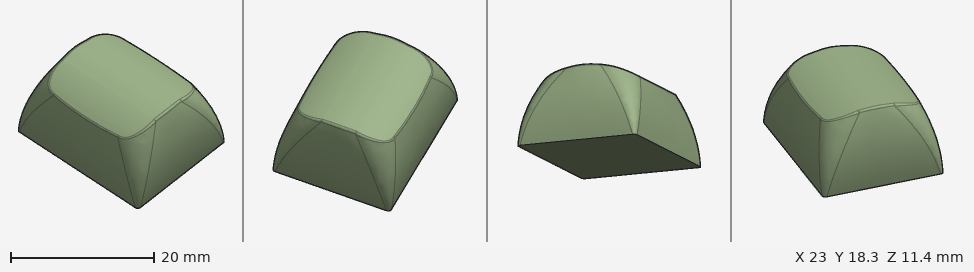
import cadquery as cq
import math

LENGTH = 23.03
WIDTH = 18.25
HEIGHT = 11.4
WIDEST_LEVEL = 1.5
END_WALL_RADIUS = 20.73
LONG_WALL_RADIUS = 21.19
BASE_CORNER = 0.48
CORNER_GROWTH_X = 0.34
CORNER_GROWTH_Y = 0.32
WALL_BOW = 0.28
TOP_RADIUS = 15.2
TOP_EDGE_FILLET = 0.45
TRIM_ALLOWANCE = 0.7
BLANK_HEIGHT = HEIGHT + TRIM_ALLOWANCE
SECTION_COUNT = 5
ELLIPSE_HANDLE = 4 / 3 * (math.sqrt(2) - 1)


def half_span(full_size, wall_radius, z):
    """Distance from the centre to a wall that is a vertical arc."""
    rise = z - WIDEST_LEVEL
    return full_size / 2 - wall_radius + math.sqrt(wall_radius**2 - rise**2)


def section(z):
    """Rectangle with bowed sides and elliptical corners at level z."""
    bow = WALL_BOW * z / HEIGHT
    mid_x = half_span(LENGTH, END_WALL_RADIUS, z)
    mid_y = half_span(WIDTH, LONG_WALL_RADIUS, z)
    x = mid_x - bow
    y = mid_y - bow
    corner_x = BASE_CORNER + CORNER_GROWTH_X * z
    corner_y = BASE_CORNER + CORNER_GROWTH_Y * z
    flat_x = x - corner_x
    flat_y = y - corner_y
    handle_x = flat_x + ELLIPSE_HANDLE * corner_x
    handle_y = flat_y + ELLIPSE_HANDLE * corner_y

    def side(start, middle, end):
        points = [cq.Vector(*point, z) for point in (start, middle, end)]
        if bow == 0:
            return cq.Edge.makeLine(points[0], points[2])
        return cq.Edge.makeThreePointArc(*points)

    def corner(*points):
        return cq.Edge.makeBezier([cq.Vector(*point, z) for point in points])

    edges = [
        side((-flat_x, -y), (0, -mid_y), (flat_x, -y)),
        corner((flat_x, -y), (handle_x, -y), (x, -handle_y), (x, -flat_y)),
        side((x, -flat_y), (mid_x, 0), (x, flat_y)),
        corner((x, flat_y), (x, handle_y), (handle_x, y), (flat_x, y)),
        side((flat_x, y), (0, mid_y), (-flat_x, y)),
        corner((-flat_x, y), (-handle_x, y), (-x, handle_y), (-x, flat_y)),
        side((-x, flat_y), (-mid_x, 0), (-x, -flat_y)),
        corner((-x, -flat_y), (-x, -handle_y), (-handle_x, -y), (-flat_x, -y)),
    ]
    return cq.Wire.assembleEdges(edges)


def make_blank():
    """Bulging body lofted from the base to just above the crest."""
    step = BLANK_HEIGHT / (SECTION_COUNT - 1)
    sections = [section(index * step) for index in range(SECTION_COUNT)]
    return cq.Workplane(cq.Solid.makeLoft(sections))


def make_top_cylinder():
    """Cylinder along X whose crest is the top of the part."""
    return (
        cq.Workplane("YZ", origin=(-LENGTH, 0, 0))
        .center(0, HEIGHT - TOP_RADIUS)
        .circle(TOP_RADIUS)
        .extrude(2 * LENGTH)
    )


trimmed = make_blank().intersect(make_top_cylinder())
result = trimmed.faces(">Z").edges().fillet(TOP_EDGE_FILLET)